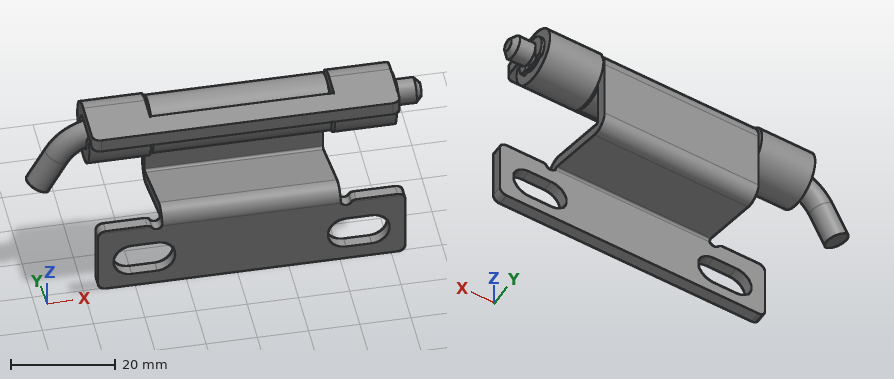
import cadquery as cq
import math


PIN_AXIS = (0, 0)
hinge_width = 60.0
corner_radius = 1.55
roll_sweep = 298.0

upper_thickness = 2.8
upper_bore_radius = 3.2
upper_roll_radius = upper_bore_radius + upper_thickness
upper_reach = 10.0
notch_width = 35.9
notch_depth = 4.85
knuckle_width = (hinge_width - notch_width) / 2

lower_thickness = 2.5
lower_bore_radius = 3.15
lower_roll_radius = lower_bore_radius + lower_thickness
tab_width = 34.8
bend_inner_radius = 0.5
bend_outer_radius = bend_inner_radius + lower_thickness
slope_angle = 15.0
plate_front = -14.5
plate_back = plate_front + lower_thickness
plate_bottom = -27.5
plate_top = -13.1
plate_bend_height = -13.55
relief_radius = 1.1
slot_length = 12.0
slot_height = 7.0
slot_spacing = 41.8
slot_center_height = -21.1

pin_diameter = 5.0
pin_radius = pin_diameter / 2
pin_bend_radius = 10.0
pin_bend_angle = 58.0
pin_bend_start = -26.9
pin_handle_length = 7.2
pin_handle_tilt = 5.0
pin_end = 35.75
pin_end_chamfer = 1.15
groove_radius = 1.8
groove_width = 1.1

clip_radius = 4.0
clip_thickness = 0.6
clip_flat = 2.4


def polar(center, radius, angle):
    """Point at an angle (degrees, from +Y toward +Z) on a circle in the YZ plane."""
    turn = math.radians(angle)
    return (center[0] + radius * math.cos(turn), center[1] + radius * math.sin(turn))


def add_arc(sketch, center, radius, start, end):
    """Continue an outline along a circle from the start angle to the end angle."""
    return sketch.threePointArc(polar(center, radius, (start + end) / 2), polar(center, radius, end))


def upper_knuckle(left_side):
    """One end of the leaf: the flat sheet with its edge rolled down behind the pin and up in front."""
    roll_start, roll_end = 90, 90 - roll_sweep
    outline = cq.Workplane("YZ", origin=(left_side, 0, 0)).moveTo(-upper_reach, upper_roll_radius)
    outline = outline.lineTo(0, upper_roll_radius)
    outline = add_arc(outline, PIN_AXIS, upper_roll_radius, roll_start, roll_end)
    outline = outline.lineTo(*polar(PIN_AXIS, upper_bore_radius, roll_end))
    outline = add_arc(outline, PIN_AXIS, upper_bore_radius, roll_end, roll_start)
    outline = outline.lineTo(-upper_reach, upper_bore_radius).close()
    knuckle = outline.extrude(knuckle_width)
    end_middle = polar(PIN_AXIS, upper_bore_radius + upper_thickness / 2, roll_end)
    end_face = cq.selectors.NearestToPointSelector((left_side + knuckle_width / 2, *end_middle))
    return knuckle.faces(end_face).edges("not(|X)").fillet(corner_radius)


def make_upper_leaf():
    leaf = cq.Workplane("XY", origin=(0, -upper_reach, upper_bore_radius)).box(
        hinge_width, upper_reach - notch_depth, upper_thickness, centered=(True, False, False)
    )
    for left_side in (-hinge_width / 2, notch_width / 2):
        leaf = leaf.union(upper_knuckle(left_side))
    return leaf.clean().edges("|Z and <Y").fillet(corner_radius)


def bent_strip(width):
    """Sheet rolled around the pin at the top, then bent forward and down to the mounting plate."""
    back_bend_y = lower_roll_radius - bend_outer_radius
    plate_bend = (plate_front + bend_outer_radius, plate_bend_height)
    slope = math.radians(slope_angle)
    slope_drop = (back_bend_y - plate_bend[0]) * math.tan(slope)
    bend_offset = (bend_outer_radius + bend_inner_radius) / math.cos(slope)
    back_bend = (back_bend_y, plate_bend_height + bend_offset - slope_drop)
    upper_normal = 90 - slope_angle
    lower_normal = upper_normal - 180

    outline = cq.Workplane("YZ", origin=(-width / 2, 0, 0))
    outline = outline.moveTo(*polar(PIN_AXIS, lower_roll_radius, roll_sweep))
    outline = add_arc(outline, PIN_AXIS, lower_roll_radius, roll_sweep, 0)
    outline = outline.lineTo(*polar(back_bend, bend_outer_radius, 0))
    outline = add_arc(outline, back_bend, bend_outer_radius, 0, lower_normal)
    outline = outline.lineTo(*polar(plate_bend, bend_inner_radius, upper_normal))
    outline = add_arc(outline, plate_bend, bend_inner_radius, upper_normal, 180)
    outline = outline.lineTo(plate_back, plate_bottom).lineTo(plate_front, plate_bottom)
    outline = outline.lineTo(*polar(plate_bend, bend_outer_radius, 180))
    outline = add_arc(outline, plate_bend, bend_outer_radius, 180, upper_normal)
    outline = outline.lineTo(*polar(back_bend, bend_inner_radius, lower_normal))
    outline = add_arc(outline, back_bend, bend_inner_radius, lower_normal, 0)
    outline = outline.lineTo(*polar(PIN_AXIS, lower_bore_radius, 0))
    outline = add_arc(outline, PIN_AXIS, lower_bore_radius, 0, roll_sweep)
    return outline.close().extrude(width)


def plate_wing():
    """The mounting plate right of the tab, with a relief notch beside the bend."""
    wing_width = (hinge_width - tab_width) / 2
    sheet = cq.Workplane("XZ", origin=(0, plate_front, 0))
    wing = (
        cq.Workplane("XY", origin=(tab_width / 2, plate_front, plate_bottom))
        .box(wing_width, lower_thickness, plate_top - plate_bottom, centered=False)
        .edges("|Y and >X")
        .fillet(corner_radius)
    )
    relief_x = tab_width / 2 + relief_radius
    relief = sheet.center(relief_x, plate_top).circle(relief_radius).extrude(-lower_thickness)
    notch_edge = cq.selectors.NearestToPointSelector(
        (relief_x + relief_radius, (plate_front + plate_back) / 2, plate_top)
    )
    wing = wing.cut(relief).edges(notch_edge).fillet(relief_radius)
    return wing.intersect(bent_strip(hinge_width))


def make_lower_leaf():
    wing = plate_wing()
    leaf = bent_strip(tab_width).union(wing).union(wing.mirror("YZ")).clean()
    slots = (
        cq.Workplane("XZ", origin=(0, plate_front, slot_center_height))
        .pushPoints([(-slot_spacing / 2, 0), (slot_spacing / 2, 0)])
        .slot2D(slot_length, slot_height)
        .extrude(-lower_thickness)
    )
    return leaf.cut(slots)


def make_pin():
    """Round bar bent down at the left end, grooved for the clip and chamfered at the right end."""
    shaft = (
        cq.Workplane("YZ", origin=(pin_bend_start, 0, 0))
        .circle(pin_radius)
        .extrude(pin_end - pin_bend_start)
        .faces(">X")
        .chamfer(pin_end_chamfer)
    )
    groove = (
        cq.Workplane("YZ", origin=(hinge_width / 2, 0, 0))
        .circle(pin_radius)
        .circle(groove_radius)
        .extrude(groove_width)
    )
    bend = math.radians(pin_bend_angle)
    bend_middle = (
        pin_bend_start - pin_bend_radius * math.sin(bend / 2),
        -pin_bend_radius * (1 - math.cos(bend / 2)),
    )
    bend_end = (
        pin_bend_start - pin_bend_radius * math.sin(bend),
        -pin_bend_radius * (1 - math.cos(bend)),
    )
    handle_end = (
        bend_end[0] - pin_handle_length * math.cos(bend),
        bend_end[1] - pin_handle_length * math.sin(bend),
    )
    handle_path = (
        cq.Workplane("XZ")
        .moveTo(pin_bend_start, 0)
        .threePointArc(bend_middle, bend_end)
        .lineTo(*handle_end)
    )
    handle = (
        cq.Workplane("YZ", origin=(pin_bend_start, 0, 0))
        .circle(pin_radius)
        .sweep(handle_path)
        .rotate((0, 0, 0), (1, 0, 0), -pin_handle_tilt)
    )
    return shaft.cut(groove).union(handle)


def make_clip():
    """Disc seated in the pin groove, cut off flat below and open downward."""
    face = cq.Workplane("YZ", origin=(hinge_width / 2, 0, 0))
    disc = face.circle(clip_radius).extrude(clip_thickness)
    seat = face.circle(groove_radius).extrude(clip_thickness)
    mouth = face.center(0, -clip_radius / 2).rect(2 * groove_radius, clip_radius).extrude(clip_thickness)
    cut_off_height = clip_radius - clip_flat
    cut_off = (
        face.center(0, -clip_flat - cut_off_height / 2)
        .rect(2 * clip_radius, cut_off_height)
        .extrude(clip_thickness)
    )
    return disc.cut(seat).cut(mouth).cut(cut_off)


upper_leaf = make_upper_leaf()
lower_leaf = make_lower_leaf()
pin = make_pin()
clip = make_clip()

result = cq.Compound.makeCompound(
    [upper_leaf.solids().val(), lower_leaf.solids().val(), pin.solids().val(), clip.solids().val()]
)